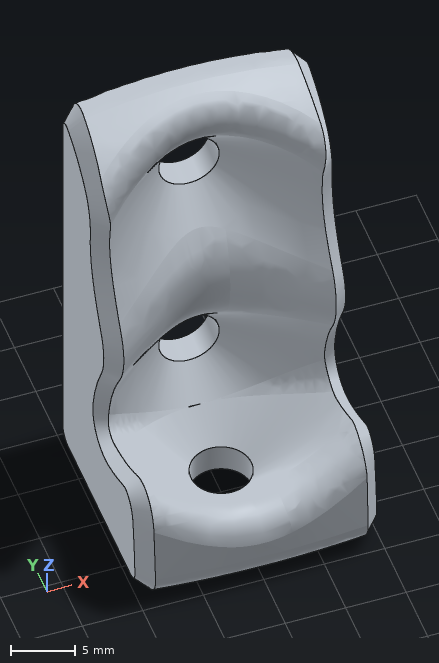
import cadquery as cq

width = 20.0
depth = 20.0
hole_diameter = 5.0
hole_pitch = 20.0
crown_radius = 39.95
top_radius = 12.0
front_radius = 85.2
rim_radius = 2.5
ridge_radius = 7.0
valley_radius = 2.38
side_chamfer = 1.23
seam_angle = -70.0

hole_offset = hole_pitch / 2
hole_heights = (hole_offset, hole_offset + hole_pitch)
ridge_height = sum(hole_heights) / 2
funnel_start = hole_diameter / 3
funnel_end = 1.2 * crown_radius


def make_block():
    """Block with a crowned, forward-falling top and a slightly domed front."""
    box = cq.Workplane("XY").box(width, depth, crown_radius, centered=(True, False, False))
    arc_center = crown_radius - top_radius
    overhang = depth + 0.4
    crown = (
        cq.Workplane("YZ")
        .lineTo(0, -crown_radius)
        .radiusArc((-top_radius, -arc_center), top_radius)
        .lineTo(-overhang, -arc_center)
        .lineTo(-overhang, 0)
        .close()
        .revolve(360, (0, 0), (1, 0))
    )
    dome = cq.Workplane("XY").sphere(front_radius).translate((0, front_radius - depth, 0))
    return box.translate((0, -depth, 0)).intersect(crown).intersect(dome)


def make_funnel(center, direction):
    """45 degree cone along the direction, truncated inside the hole."""
    axis = cq.Vector(direction)
    side = cq.Vector(1, 0, 0)
    plane = cq.Plane(origin=center, xDir=side, normal=side.cross(axis))
    return (
        cq.Workplane(plane)
        .moveTo(0, funnel_start)
        .lineTo(funnel_start, funnel_start)
        .lineTo(funnel_end, funnel_end)
        .lineTo(0, funnel_end)
        .close()
        .revolve(360, (0, 0), (0, 1))
        .rotate(center, cq.Vector(center) + axis, seam_angle)
    )


def make_wedge(corner):
    """Everything on one side of the plane z = -y, on the side of the given corner."""
    far = 2 * crown_radius
    outline = cq.Workplane("YZ").polyline([(far, -far), corner, (-far, far)]).close()
    return outline.extrude(width, both=True)


def hollow_out(block):
    """Split the block on the plane z = -y, cut the funnels and rejoin the halves."""
    far = 2 * crown_radius
    wall = block.intersect(make_wedge((far, far)))
    foot = block.intersect(make_wedge((-far, -far)))
    for height in hole_heights:
        wall = wall.cut(make_funnel((0, 0, height), (0, -0.4, 0)))
    foot = foot.cut(make_funnel((0, -hole_offset, 0), (0, 0, 0.4)))
    return wall.union(foot)


def round_edge(solid, y, z, radius):
    """Fillet the cross edge that passes the middle plane nearest to (y, z)."""
    target = cq.Vertex.makeVertex(0, y, z)
    nearest = min(solid.edges().vals(), key=target.distance)
    return solid.newObject([nearest]).fillet(radius)


def round_edges(solid):
    top_rim_y = -7.33
    top_rim_z = hole_heights[1] - top_rim_y
    lip_y = -depth
    lip_z = depth - hole_offset
    ridge_y = -hole_pitch / 2
    valley = hole_offset / 2
    solid = round_edge(solid, top_rim_y, top_rim_z, rim_radius)
    solid = round_edge(solid, lip_y, lip_z, rim_radius)
    solid = round_edge(solid, ridge_y, ridge_height, ridge_radius)
    solid = round_edge(solid, 0, crown_radius, rim_radius)
    solid = round_edge(solid, 0, 0, rim_radius)
    solid = round_edge(solid, -depth, 0, rim_radius)
    return round_edge(solid, -valley, valley, valley_radius)


def drill_holes(solid):
    """Two holes through the wall and one through the foot."""
    bore = cq.Workplane("XY").circle(hole_diameter / 2).extrude(depth, both=True)
    for height in hole_heights:
        wall_bore = bore.rotate((0, 0, 0), (1, 0, 0), 90).translate((0, 0, height))
        solid = solid.cut(wall_bore)
    return solid.cut(bore.translate((0, -hole_offset, 0)))


rounded = round_edges(hollow_out(make_block()))
result = drill_holes(rounded).faces("<X or >X").chamfer(side_chamfer)